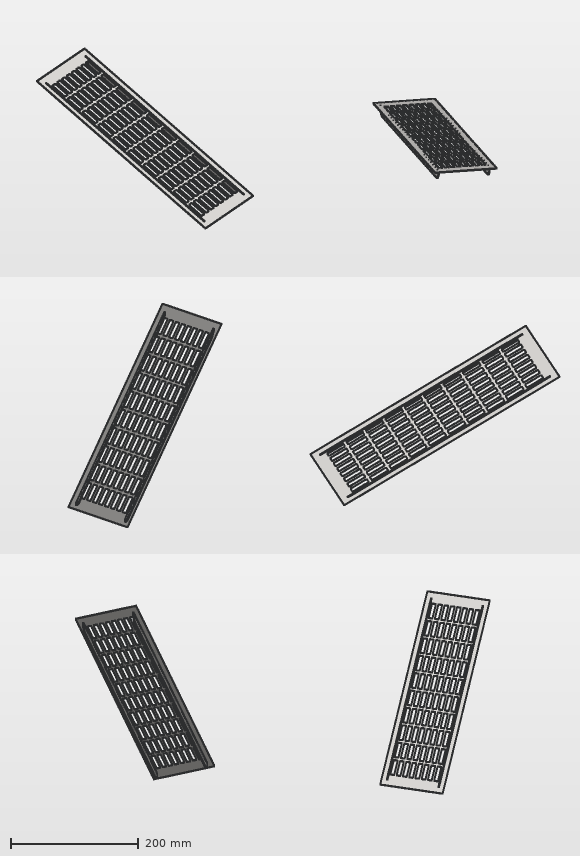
import cadquery as cq

plate_length = 400.0
plate_width = 100.0
sheet_thickness = 1.5
total_height = 16.5

slot_columns = 10
slot_rows = 8
slot_length = 30.0
slot_width = 6.0
slot_pitch_x = 36.0
slot_pitch_y = 10.0
slot_corner_radius = 1.0

flange_end_inset = 12.0
flange_side_inset = 8.0
flange_corner_cut = 8.0
flange_length = plate_length - 2 * flange_end_inset
flange_offset = (plate_width - sheet_thickness) / 2 - flange_side_inset


def make_plate():
    """Flat rectangular face plate."""
    return cq.Workplane("XY").box(
        plate_length, plate_width, sheet_thickness, centered=(True, True, False)
    ).translate((0, 0, -sheet_thickness))


def make_slots():
    """Cutters for the whole slot grid, each slot with rounded corners."""
    return (
        cq.Workplane("XY")
        .workplane(offset=-sheet_thickness)
        .rarray(slot_pitch_x, slot_pitch_y, slot_columns, slot_rows)
        .rect(slot_length, slot_width)
        .extrude(sheet_thickness)
        .edges("|Z")
        .fillet(slot_corner_radius)
    )


def make_flange(center_y):
    """Upright flange with its two lower corners cut at 45 degrees."""
    return (
        cq.Workplane("XY")
        .box(flange_length, sheet_thickness, total_height, centered=(True, True, False))
        .edges("|Y and <Z")
        .edges("<X or >X")
        .chamfer(flange_corner_cut)
        .translate((0, center_y, -total_height))
    )


result = make_plate().cut(make_slots())
for side in (-1, 1):
    result = result.union(make_flange(side * flange_offset))